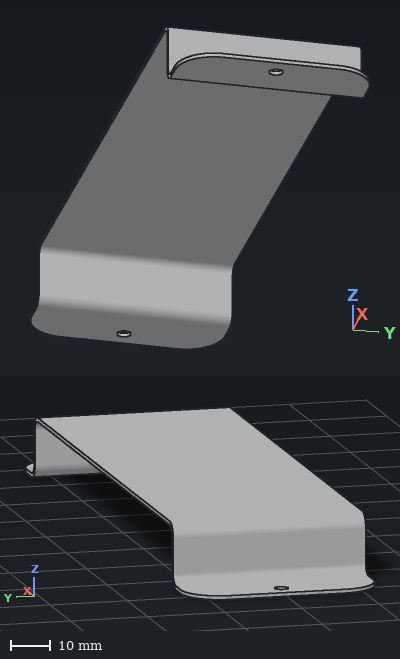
import cadquery as cq

length = 171.0
width = 50.0
height = 16.5

thickness = 1.0
inner_radius = 2.5
outer_radius = inner_radius + thickness

flange_reach = 17.1
corner_radius = 10.0
hole_diameter = 3.5
hole_inset = 5.5

half_length = length / 2
wall_outside = half_length - flange_reach
wall_inside = wall_outside - thickness


def bent_strip():
    """Hat-shaped sheet with sharp bends, centred on X and Y and standing on Z = 0."""
    right_side = [
        (wall_inside, height - thickness),
        (wall_inside, 0),
        (half_length, 0),
        (half_length, thickness),
        (wall_outside, thickness),
        (wall_outside, height),
    ]
    left_side = [(-x, z) for x, z in reversed(right_side)]
    return (
        cq.Workplane("XZ")
        .polyline(right_side + left_side)
        .close()
        .extrude(width / 2, both=True)
    )


def round_bend(strip, x, z, radius):
    """Round the matching bend edges at +X and -X."""
    for side in (-1, 1):
        edge = cq.selectors.NearestToPointSelector((side * x, 0, z))
        strip = strip.edges("|Y").edges(edge).fillet(radius)
    return strip


strip = bent_strip()
strip = round_bend(strip, wall_outside, height, outer_radius)
strip = round_bend(strip, wall_inside, height - thickness, inner_radius)
strip = round_bend(strip, wall_outside, thickness, inner_radius)
strip = round_bend(strip, wall_inside, 0, outer_radius)

rounded_plan = (
    cq.Workplane("XY")
    .rect(length, width)
    .extrude(height)
    .edges("|Z")
    .fillet(corner_radius)
)
strip = strip.intersect(rounded_plan)

hole_offset = half_length - hole_inset
holes = (
    cq.Workplane("XY")
    .pushPoints([(-hole_offset, 0), (hole_offset, 0)])
    .circle(hole_diameter / 2)
    .extrude(thickness)
)

result = strip.cut(holes)